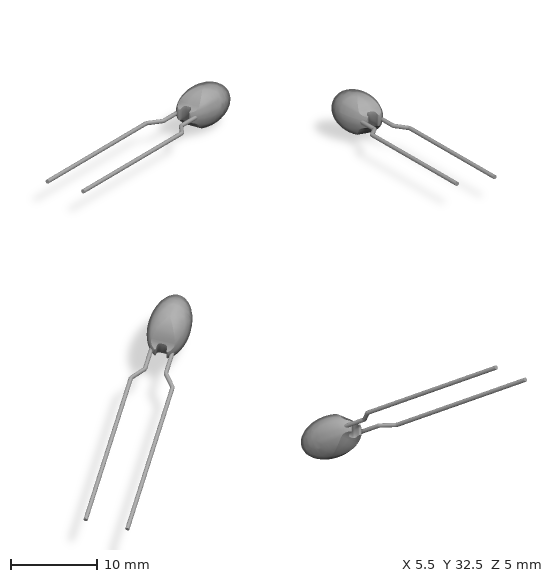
import cadquery as cq
import math

TOTAL_LENGTH = 32.5
BEAD_LENGTH = 8.45
BEAD_RADIUS = 2.5
BEAD_CENTER_Y = TOTAL_LENGTH - BEAD_LENGTH / 2
BEAD_END_Y = 24.38

PINCH_CREASE_Y = 25.45
PINCH_CREASE_Z = 1.25
PINCH_END_Z = 0.65

NOTCH_WIDTH = 1.27
NOTCH_TOP_Y = 25.15
NOTCH_CORNER_RADIUS = 0.4
NOTCH_MOUTH_RADIUS = 0.15

LEAD_RADIUS = 0.25
LEAD_X = 2.5
LEAD_ROOT_X = LEAD_X / 2
LEAD_ROOT_Y = 26.0
UPPER_BEND_Y = 21.9
LOWER_BEND_Y = 20.28
BEND_RADIUS = 0.45


def make_ellipsoid():
    """Revolve half an ellipse around the Y axis."""
    return (
        cq.Workplane("XY")
        .ellipseArc(BEAD_RADIUS, BEAD_LENGTH / 2, -90, 90, startAtCurrent=False)
        .close()
        .revolve(360, (0, 0, 0), (0, 1, 0))
        .translate((0, BEAD_CENTER_Y, 0))
    )


def make_pinch_envelope():
    """Side outline of the pinched bead, extruded across its full width."""
    crease = (PINCH_CREASE_Y, PINCH_CREASE_Z)
    run = BEAD_CENTER_Y - PINCH_CREASE_Y
    drop = BEAD_RADIUS - PINCH_CREASE_Z
    arc_radius = (run**2 + drop**2) / (2 * drop)
    half_angle = math.asin(run / arc_radius) / 2
    arc_middle = (
        BEAD_CENTER_Y - arc_radius * math.sin(half_angle),
        BEAD_RADIUS - arc_radius * (1 - math.cos(half_angle)),
    )
    upper_half = (
        cq.Workplane("YZ")
        .moveTo(TOTAL_LENGTH, 0)
        .lineTo(TOTAL_LENGTH, BEAD_RADIUS)
        .lineTo(BEAD_CENTER_Y, BEAD_RADIUS)
        .threePointArc(arc_middle, crease)
        .tangentArcPoint((BEAD_END_Y, PINCH_END_Z), relative=False)
        .lineTo(BEAD_END_Y, 0)
        .close()
        .extrude(BEAD_RADIUS, both=True)
    )
    return upper_half.union(upper_half.mirror("XY"))


def make_notch():
    """Upright slot cut into the lead end of the bead."""
    margin = 2 * NOTCH_MOUTH_RADIUS
    depth = NOTCH_TOP_Y - BEAD_END_Y
    slot = (
        cq.Workplane("XY")
        .center(0, BEAD_END_Y + (depth - margin) / 2)
        .rect(NOTCH_WIDTH, depth + margin)
        .extrude(BEAD_RADIUS, both=True)
        .edges("|Z and >Y")
        .fillet(NOTCH_CORNER_RADIUS)
    )
    outside = (
        cq.Workplane("XY")
        .center(0, BEAD_END_Y - margin / 2)
        .rect(2 * BEAD_RADIUS, margin)
        .extrude(BEAD_RADIUS, both=True)
    )
    mouth_corners = cq.selectors.BoxSelector(
        (-NOTCH_WIDTH, BEAD_END_Y - NOTCH_MOUTH_RADIUS, -BEAD_RADIUS),
        (NOTCH_WIDTH, BEAD_END_Y + NOTCH_MOUTH_RADIUS, BEAD_RADIUS),
    )
    return slot.union(outside).edges("|Z").edges(mouth_corners).fillet(NOTCH_MOUTH_RADIUS)


def make_lead(side):
    """Round wire that steps outwards; side is -1 or 1 along X."""
    bend_angle = math.atan2(LEAD_X - LEAD_ROOT_X, UPPER_BEND_Y - LOWER_BEND_Y)
    setback = BEND_RADIUS * math.tan(bend_angle / 2)
    step_x = setback * math.sin(bend_angle)
    step_y = setback * math.cos(bend_angle)
    path = (
        cq.Workplane("XY")
        .moveTo(side * LEAD_X, 0)
        .lineTo(side * LEAD_X, LOWER_BEND_Y - setback)
        .tangentArcPoint((side * (LEAD_X - step_x), LOWER_BEND_Y + step_y), relative=False)
        .lineTo(side * (LEAD_ROOT_X + step_x), UPPER_BEND_Y - step_y)
        .tangentArcPoint((side * LEAD_ROOT_X, UPPER_BEND_Y + setback), relative=False)
        .lineTo(side * LEAD_ROOT_X, LEAD_ROOT_Y)
    )
    return (
        cq.Workplane("XZ")
        .center(side * LEAD_X, 0)
        .circle(LEAD_RADIUS)
        .sweep(path)
    )


leads = [make_lead(side) for side in (-1, 1)]

bead = make_ellipsoid().intersect(make_pinch_envelope()).cut(make_notch())
for lead in leads:
    bead = bead.cut(lead)

result = cq.Compound.makeCompound([bead.val(), *[lead.val() for lead in leads]])